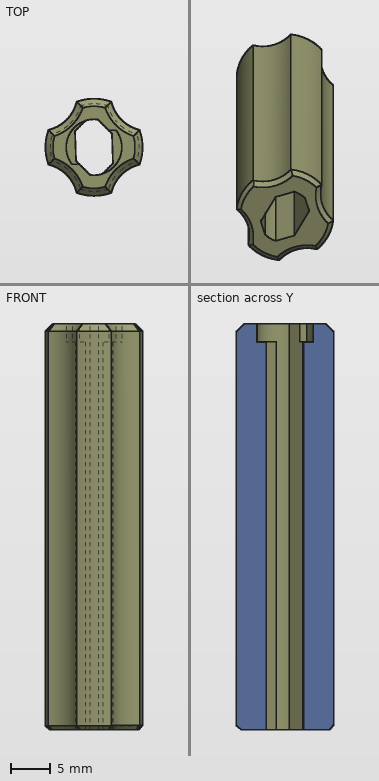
import cadquery as cq
import math

length = 51.9
body_radius = 6.2
lobe_half_width = 2.25
groove_depth = 0.75
top_chamfer = 1.0
bottom_chamfer_height = 0.6
bottom_chamfer_inset = 0.5

bore_diameter = 7.1
socket_depth = 2.35

flat_distance = 2.35
flat_tilt = 2.0
corner_distance = 3.15

stop_diagonal_distance = 2.85
stop_face_offset = 2.2

cut_margin = 0.5

bore_radius = bore_diameter / 2
socket_floor = length - socket_depth


def turn_point(point, degrees):
    """Turn an XY point about the part axis."""
    c = math.cos(math.radians(degrees))
    s = math.sin(math.radians(degrees))
    x, y = point
    return (c * x - s * y, s * x + c * y)


def turn_solid(solid, degrees):
    """Turn a solid about the part axis."""
    return solid.rotate((0, 0, 0), (0, 0, 1), degrees)


def lobed_body():
    """Bar with four rounded lobes, a concave groove between each pair, and chamfered ends."""
    lobe_edge = math.sqrt(body_radius**2 - lobe_half_width**2)
    groove_radius = (lobe_half_width + lobe_edge) / math.sqrt(2) - groove_depth
    outline = cq.Workplane("XY").moveTo(lobe_edge, -lobe_half_width)
    for angle in (0, 90, 180, 270):
        outline = outline.threePointArc(
            turn_point((body_radius, 0), angle),
            turn_point((lobe_edge, lobe_half_width), angle),
        )
        outline = outline.threePointArc(
            turn_point((groove_radius, 0), angle + 45),
            turn_point((lobe_half_width, lobe_edge), angle),
        )
    body = outline.close().extrude(length)
    body = body.faces(">Z").chamfer(top_chamfer)
    return body.faces("<Z").chamfer(bottom_chamfer_height, bottom_chamfer_inset)


def keyed_passage():
    """Round passage narrowed by two tilted side flats and four diagonal corner flats."""
    cylinder = cq.Workplane("XY").circle(bore_radius).extrude(socket_floor)
    side_flats = cq.Workplane("XY").rect(2 * flat_distance, bore_diameter + cut_margin)
    side_flats = turn_solid(side_flats.extrude(socket_floor), flat_tilt)
    corner_flats = cq.Workplane("XY").rect(2 * stop_diagonal_distance, 2 * corner_distance)
    corner_flats = turn_solid(corner_flats.extrude(socket_floor), 45)
    return cylinder.intersect(side_flats).intersect(corner_flats)


def stop():
    """Corner block with one diagonal face and one face parallel to X."""
    reach = bore_radius + cut_margin
    diagonal_sum = stop_diagonal_distance * math.sqrt(2)
    return (
        cq.Workplane("XY", origin=(0, 0, socket_floor))
        .moveTo(diagonal_sum - stop_face_offset, stop_face_offset)
        .lineTo(reach, stop_face_offset)
        .lineTo(reach, reach)
        .lineTo(diagonal_sum - reach, reach)
        .close()
        .extrude(socket_depth)
    )


def socket():
    """Round socket with the two opposite stops left standing."""
    pocket = cq.Workplane("XY", origin=(0, 0, socket_floor)).circle(bore_radius).extrude(socket_depth)
    for angle in (0, 180):
        pocket = pocket.cut(turn_solid(stop(), angle))
    return pocket


result = lobed_body().cut(keyed_passage()).cut(socket())